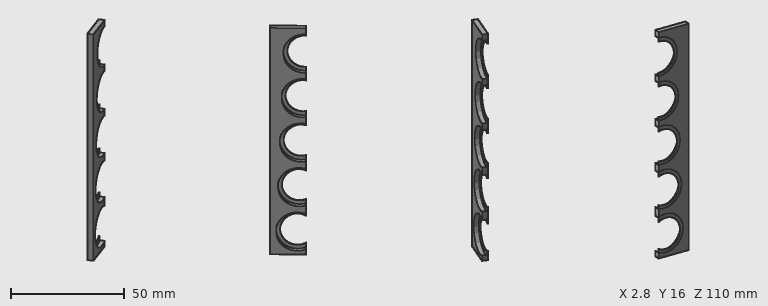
import cadquery as cq

thickness = 2.8
width = 16.0
height = 110.0

notch_count = 5
notch_radius = 7.6
counterbore_radius = 9.4
lip_thickness = 0.4

lowest_y, lowest_z = 12.1, 11.2
highest_y, highest_z = 15.3, 97.7
pitch_y = (highest_y - lowest_y) / (notch_count - 1)
pitch_z = (highest_z - lowest_z) / (notch_count - 1)
notch_centres = [
    (lowest_y + i * pitch_y, lowest_z + i * pitch_z) for i in range(notch_count)
]


def round_cutters(radius, start_x):
    """Cylinders along X on every notch centre, from start_x to the back face."""
    return (
        cq.Workplane("YZ", origin=(start_x, 0, 0))
        .pushPoints(notch_centres)
        .circle(radius)
        .extrude(thickness - start_x)
    )


plate = cq.Workplane("XY").box(thickness, width, height, centered=False)
through_notches = round_cutters(notch_radius, 0)
counterbores = round_cutters(counterbore_radius, lip_thickness)

result = plate.cut(through_notches).cut(counterbores)